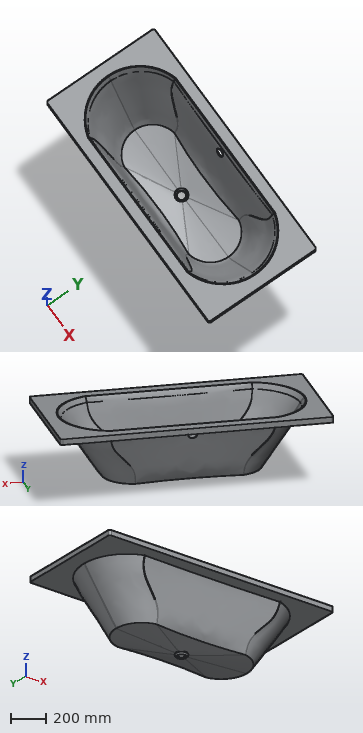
import cadquery as cq
import math

RIM_LENGTH = 1600.0
RIM_WIDTH = 750.0
RIM_THICKNESS = 35.0
RIM_CORNER_RADIUS = 13.0

TOTAL_HEIGHT = 415.0
WALL_INSET = 6.0
FLOOR_THICKNESS = 6.0
BASIN_LEVELS = [
    (0.0, 723.0, 490.0, 305.0, 305.0),
    (-96.0, 658.0, 474.0, 270.0, 265.0),
    (-176.0, 605.0, 422.0, 245.0, 245.0),
    (-256.0, 550.0, 350.0, 220.0, 224.0),
    (-320.0, 509.0, 322.0, 202.0, 205.0),
    (-378.0, 467.0, 317.0, 180.0, 163.0),
]
FLOOR_EDGE = BASIN_LEVELS[-1]

DRAIN_TOP_RADIUS = 40.0
DRAIN_HOLE_RADIUS = 25.0
DRAIN_WALL = 5.0
DRAIN_DEPTH = 11.0
DRAIN_TOP_Z = DRAIN_DEPTH - TOTAL_HEIGHT

OVERFLOW_RADIUS = 27.0
OVERFLOW_Z = -72.0


def end_arc_middle(tip_x, seam_x, seam_y):
    """Point halfway along the end arc that runs from the seam to the tip."""
    sagitta = tip_x - seam_x
    radius = (seam_y**2 + sagitta**2) / (2 * sagitta)
    centre_x = tip_x - radius
    half_angle = math.atan2(seam_y, seam_x - centre_x) / 2
    return centre_x + radius * math.cos(half_angle), radius * math.sin(half_angle)


def basin_outline(z, tip_x, seam_x, seam_y, middle_y):
    """Closed outline of two round ends and two gently bowed sides."""
    arc_x, arc_y = end_arc_middle(tip_x, seam_x, seam_y)
    outline = (
        cq.Workplane("XY", origin=(0, 0, z))
        .moveTo(tip_x, 0)
        .threePointArc((arc_x, arc_y), (seam_x, seam_y))
    )
    if middle_y == seam_y:
        outline = outline.lineTo(-seam_x, seam_y)
    else:
        outline = outline.threePointArc((0, middle_y), (-seam_x, seam_y))
    outline = outline.threePointArc((-arc_x, arc_y), (-tip_x, 0))
    outline = outline.threePointArc((-arc_x, -arc_y), (-seam_x, -seam_y))
    if middle_y == seam_y:
        outline = outline.lineTo(seam_x, -seam_y)
    else:
        outline = outline.threePointArc((0, -middle_y), (seam_x, -seam_y))
    return outline.threePointArc((arc_x, -arc_y), (tip_x, 0)).close().val()


def drain_circle(z, radius):
    """Circle divided along the same seam directions as the floor edge."""
    seam_angle = math.atan2(FLOOR_EDGE[3], FLOOR_EDGE[2])
    seam_x = radius * math.cos(seam_angle)
    seam_y = radius * math.sin(seam_angle)
    return basin_outline(z, radius, seam_x, seam_y, radius)


def basin_form(inset, lift):
    """Solid basin volume, drawn in by inset, with its floor raised by lift."""
    outlines = []
    for z, tip_x, seam_x, seam_y, middle_y in BASIN_LEVELS:
        floor_lift = lift if z == FLOOR_EDGE[0] else 0
        outlines.append(
            basin_outline(z + floor_lift, tip_x - inset, seam_x, seam_y - inset, middle_y - inset)
        )
    walls = cq.Solid.makeLoft(outlines)
    drain_top = drain_circle(DRAIN_TOP_Z + lift, DRAIN_TOP_RADIUS)
    floor = cq.Solid.makeLoft([outlines[-1], drain_top], True)
    return cq.Workplane(walls).union(cq.Workplane(floor))


def drain_cone(bottom_radius, top_z):
    """Tapered drain volume from top_z down to the lowest face of the basin."""
    cone = cq.Solid.makeCone(
        bottom_radius,
        DRAIN_TOP_RADIUS,
        top_z + TOTAL_HEIGHT,
        cq.Vector(0, 0, -TOTAL_HEIGHT),
        cq.Vector(0, 0, 1),
    )
    return cq.Workplane(cone)


def make_basin():
    outside = basin_form(0, 0).union(drain_cone(DRAIN_HOLE_RADIUS + DRAIN_WALL, DRAIN_TOP_Z))
    inside = basin_form(WALL_INSET, FLOOR_THICKNESS)
    drain_opening = drain_cone(DRAIN_HOLE_RADIUS, DRAIN_TOP_Z + FLOOR_THICKNESS)
    overflow = (
        cq.Workplane("XZ", origin=(0, 0, OVERFLOW_Z))
        .circle(OVERFLOW_RADIUS)
        .extrude(-RIM_WIDTH / 2)
    )
    return outside.cut(inside).cut(drain_opening).cut(overflow)


def make_rim():
    plate = (
        cq.Workplane("XY")
        .rect(RIM_LENGTH, RIM_WIDTH)
        .extrude(-RIM_THICKNESS)
        .edges("|Z")
        .fillet(RIM_CORNER_RADIUS)
    )
    return plate.cut(basin_form(0, 0))


rim = make_rim()
basin = make_basin()
result = cq.Compound.makeCompound([rim.solids().val(), basin.solids().val()])